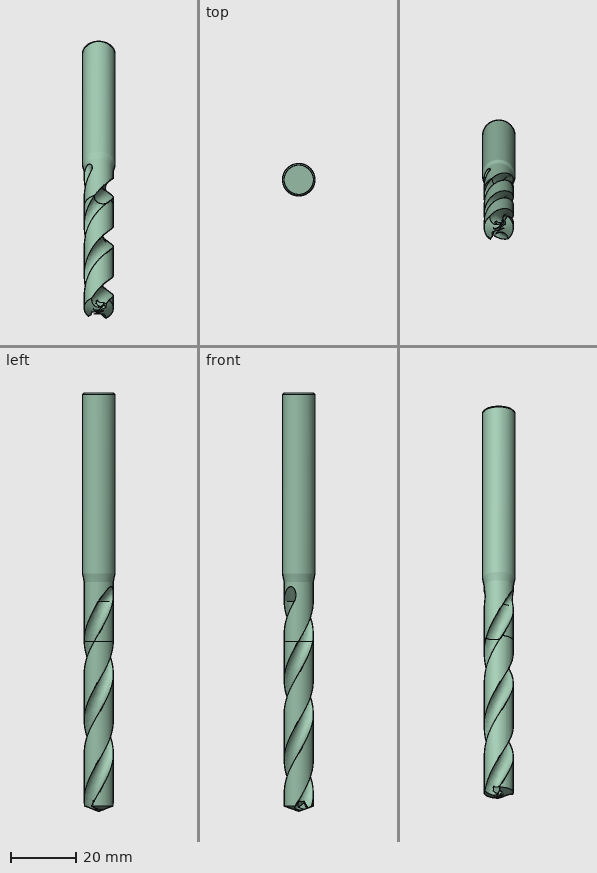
import cadquery as cq
import math

total_length = 128.0
shank_diameter = 10.0
drill_diameter = 9.0
shank_chamfer = 0.5

cutting_top = 52.0
flute_top = 64.3
neck_top = 70.1
shank_bottom = 72.7

point_angle = 140.0

flute_count = 2
helix_angle = 30.0
flute_radius = 2.7
web_thickness = 2.5
flute_start_angle = 281.4
runout_height = 6.4
runout_slope = 0.6

gash_apex_x = 1.7
gash_apex_y = -1.8
gash_apex_height = 4.7
gash_roof_width = 3.1
gash_roof_drop = 2.5
gash_wall_width = 1.3
gash_wall_drop = 3.3
gash_inward_run = 1.5
gash_downward_run = 2.0

shank_radius = shank_diameter / 2
drill_radius = drill_diameter / 2
point_height = drill_radius / math.tan(math.radians(point_angle / 2))
flute_center_radius = web_thickness / 2 + flute_radius
helix_pitch = math.pi * drill_diameter / math.tan(math.radians(helix_angle))
flute_twist = 360.0 * flute_top / helix_pitch


def helical_flute(start_angle):
    """Round flute twisting about the drill axis from the point to the flute top."""
    return (
        cq.Workplane("XY")
        .transformed(rotate=(0, 0, start_angle))
        .pushPoints([(flute_center_radius, 0)])
        .circle(flute_radius)
        .twistExtrude(flute_top, flute_twist)
    )


def flute_runout(start_angle):
    """Straight continuation of a flute that climbs out through the neck."""
    end_angle = start_angle + flute_twist
    section = cq.Wire.makeCircle(
        flute_radius, cq.Vector(flute_center_radius, 0, flute_top), cq.Vector(0, 0, 1))
    climb = cq.Vector(
        runout_height * runout_slope,
        runout_height * math.tan(math.radians(helix_angle)),
        runout_height,
    )
    runout = cq.Solid.extrudeLinear(section, [], climb)
    return cq.Workplane(runout).rotate((0, 0, 0), (0, 0, 1), end_angle)


def web_gash(turn):
    """V-shaped relief of the core where a flute reaches the point."""
    section = cq.Wire.makePolygon(
        [
            cq.Vector(gash_apex_x, gash_apex_y, gash_apex_height),
            cq.Vector(gash_apex_x - gash_roof_width, gash_apex_y, gash_apex_height - gash_roof_drop),
            cq.Vector(gash_apex_x + gash_wall_width, gash_apex_y, gash_apex_height - gash_wall_drop),
        ],
        close=True,
    )
    gash = cq.Solid.extrudeLinear(section, [], cq.Vector(0, gash_inward_run, -gash_downward_run))
    return cq.Workplane(gash).rotate((0, 0, 0), (0, 0, 1), turn)


def make_cutting_part():
    """Cylinder with a conical point."""
    return (
        cq.Workplane("XZ")
        .polyline([(0, 0), (drill_radius, point_height), (drill_radius, cutting_top), (0, cutting_top)])
        .close()
        .revolve(360, (0, 0), (0, 1))
    )


def make_shank_part():
    """Neck, cone and chamfered shank."""
    return (
        cq.Workplane("XZ")
        .polyline([
            (0, cutting_top),
            (drill_radius, cutting_top),
            (drill_radius, neck_top),
            (shank_radius, shank_bottom),
            (shank_radius, total_length),
            (0, total_length),
        ])
        .close()
        .revolve(360, (0, 0), (0, 1))
        .faces(">Z")
        .chamfer(shank_chamfer)
    )


cutting_part = make_cutting_part()
shank_part = make_shank_part()
for index in range(flute_count):
    turn = index * 360.0 / flute_count
    angle = flute_start_angle + turn
    flute = helical_flute(angle)
    cutting_part = cutting_part.cut(flute).cut(web_gash(turn))
    shank_part = shank_part.cut(flute).cut(flute_runout(angle))

result = cq.Compound.makeCompound([cutting_part.val(), shank_part.val()])